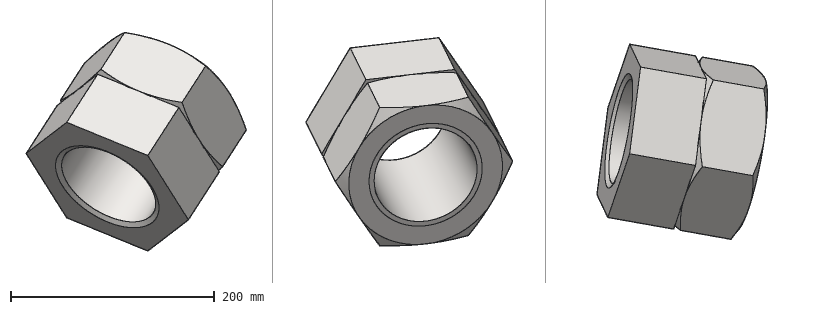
import cadquery as cq
import math

ACROSS_CORNERS = 179.0
CORNER_RADIUS = ACROSS_CORNERS / 2
FLAT_RADIUS = CORNER_RADIUS * math.cos(math.pi / 6)

TOTAL_LENGTH = 131.4
NUT_LENGTH = 64.8
HEAD_LENGTH = TOTAL_LENGTH - NUT_LENGTH

CONE_SLOPE = math.tan(math.radians(30.0))

BORE_RADIUS = 103.8 / 2
MOUTH_RADIUS = 114.2 / 2
MOUTH_DEPTH = (MOUTH_RADIUS - BORE_RADIUS) * CONE_SLOPE

SLEEVE_RADIUS = MOUTH_RADIUS

CORNER_CHAMFER_DEPTH = (CORNER_RADIUS - FLAT_RADIUS) * CONE_SLOPE


def hex_prism(start_y, length):
    """Hexagonal prism along +Y, starting at start_y."""
    return (
        cq.Workplane("XZ", origin=(0, start_y, 0))
        .polygon(6, ACROSS_CORNERS)
        .extrude(-length)
    )


def cylinder(start_y, length, radius):
    """Cylinder along +Y, starting at start_y."""
    return cq.Workplane("XZ", origin=(0, start_y, 0)).circle(radius).extrude(-length)


def turned(profile):
    """Solid turned about the Y axis from a closed profile of (radius, y) points."""
    return cq.Workplane("XY").polyline(profile).close().revolve(360, (0, 0, 0), (0, 1, 0))


def make_body():
    """Hexagonal head with a sleeve behind it, bored through."""
    head = hex_prism(0, HEAD_LENGTH)
    sleeve = cylinder(HEAD_LENGTH, NUT_LENGTH, SLEEVE_RADIUS)
    bore = turned([
        (0, 0),
        (MOUTH_RADIUS, 0),
        (BORE_RADIUS, MOUTH_DEPTH),
        (BORE_RADIUS, TOTAL_LENGTH),
        (0, TOTAL_LENGTH),
    ])
    return head.union(sleeve).cut(bore)


def make_nut():
    """Hexagonal nut around the sleeve, with its corners chamfered on both faces."""
    corner_envelope = turned([
        (0, HEAD_LENGTH),
        (FLAT_RADIUS, HEAD_LENGTH),
        (CORNER_RADIUS, HEAD_LENGTH + CORNER_CHAMFER_DEPTH),
        (CORNER_RADIUS, TOTAL_LENGTH - CORNER_CHAMFER_DEPTH),
        (FLAT_RADIUS, TOTAL_LENGTH),
        (0, TOTAL_LENGTH),
    ])
    sleeve_hole = cylinder(HEAD_LENGTH, NUT_LENGTH, SLEEVE_RADIUS)
    return hex_prism(HEAD_LENGTH, NUT_LENGTH).intersect(corner_envelope).cut(sleeve_hole)


body = make_body()
nut = make_nut()

result = cq.Compound.makeCompound([body.solids().val(), nut.solids().val()])